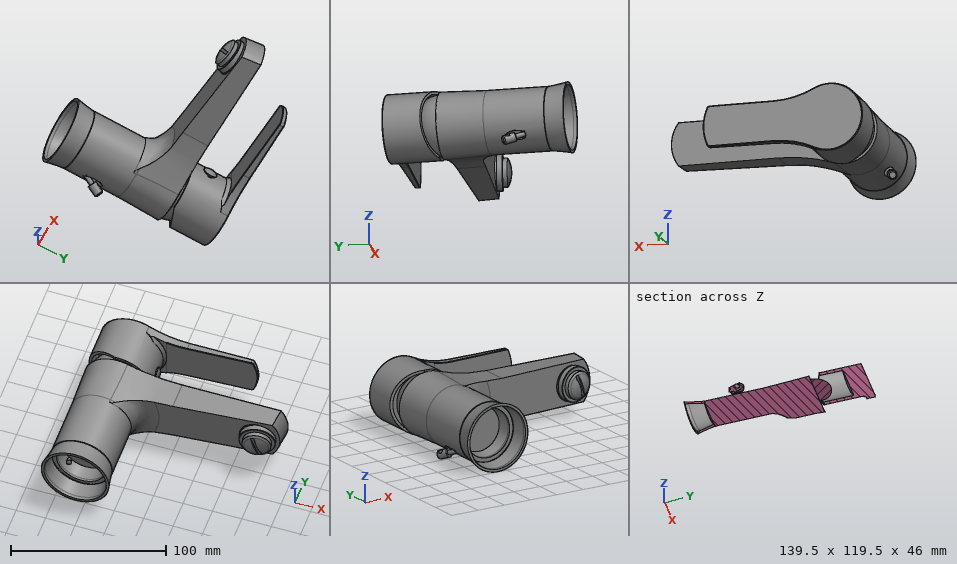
import cadquery as cq
import math


FOOT_R = 23.0
FOOT_WAIST_R = 21.8
FOOT_H = 12.8
FOOT_MOUTH_R = 21.2
FOOT_LIP_H = 2.2
FOOT_INNER_R = 19.7

TOWER_R = 21.0
TOWER_TOP_R = 21.9
TAPER_START_Y = 53.0
TOWER_TOP_Y = 84.0
TOWER_EDGE = 0.3
SPIGOT_Y = 12.1
BORE_MOUTH_R = 33.5 / 2
BORE_TAPER_Y = 13.8
BORE_R = 31.0 / 2
BORE_FLOOR_Y = 22.7

SPOUT_TIP_X = 116.5
SPOUT_CORNER_X = 111.7
SPOUT_HALF_W = 14.5
SPOUT_STRAIGHT_X = 44.4
SPOUT_UNDER_Y = 65.0
SPOUT_TIP_UNDER_Y = 71.0
TIP_LEAN = 0.1
THROAT_SECTIONS = [
    (57.2, 23.6, 23.0),
    (60.6, 26.2, 29.3),
    (64.5, 37.0, 83.7),
]
THROAT_START_Y = 51.1
THROAT_HALF_W = 20.8

AERATOR_X = 101.5
AERATOR_Y = 65.9
AERATOR_TILT = 10.0
AERATOR_RIM_R = 24.5 / 2
AERATOR_RIM_SETBACK = 3.9
COLLAR_R = 23.9 / 2
COLLAR_EDGE = 0.3
AERATOR_DEPTH = 6.3
INSERT_R = 19.0 / 2
INSERT_H = 3.0
INSERT_BEVEL_H = 1.0
INSERT_FACE_R = 16.0 / 2
INSERT_DOME_H = 1.7
SLOT_W = 2.1
SLOT_ANGLE = 19.5

DOME_R = 20.1

HANDLE_R = 22.5
HANDLE_TOP_Y = 119.5
HANDLE_LOW_Y = 85.7
HANDLE_EDGE = 0.5
HANDLE_RELIEF_X = -1.7
HANDLE_BACK_Y = 94.3
CAVITY_R = 20.7
CAVITY_TOP_Y = 106.1
LEVER_STRAIGHT_X = 37.5
LEVER_HALF_W = 13.7
LEVER_CORNER_X = 81.5
LEVER_TIP_X = 84.7
LEVER_CORNER_R = 2.1
LEVER_UNDER_Y = 113.5
LEVER_SLOPE_X = 23.7
LEVER_TIP_UNDER_Y = 116.3
LEVER_EDGE = 0.4
LEVER_BLEND_H = 2.8
LEVER_BLEND_REACH = 1.4
LEVER_BLEND_LOW_HALF_W = 16.0
LEVER_BLEND_HALF_W = 19.8

BUTTON_R = 9.5 / 2
BUTTON_Y = 98.5
BUTTON_SEAT_X = 21.2
BUTTON_RIM_X = 22.9
BUTTON_TOP_X = 24.3

ROD_TILT = 30.0
ROD_R = 1.7
ROD_POCKET_R = 6.8 / 2
ROD_POCKET_END = 18.1
KNOB_R = 6.0 / 2
KNOB_L = 8.4
KNOB_EDGE = 0.8
KNOB_TOP_RADIUS = 27.2
KNOB_TOP_Y = 40.2
ROD_END_RADIUS = 15.0
DIMPLE_R = 1.4
DIMPLE_TURN = -25.0
DIMPLE_SETBACK = 3.6


def level(y):
    """Horizontal workplane across the tower at height y, extruding upwards."""
    return cq.Workplane(cq.Plane(origin=(0, y, 0), xDir=(1, 0, 0), normal=(0, 1, 0)))


def turned(profile):
    """Revolve a profile drawn in the XY plane about the tower axis."""
    return profile.close().revolve(360, (0, 0, 0), (0, 1, 0))


def blend_loft(sections):
    """Solid through bowed horizontal sections: (height, reach along X, radius of the bow, half width)."""
    wires = []
    for y, reach, radius, half_w in sections:
        side_x = reach - radius + math.sqrt(radius ** 2 - half_w ** 2)
        section = (
            level(y)
            .moveTo(0, -half_w)
            .lineTo(side_x, -half_w)
            .threePointArc((reach, 0), (side_x, half_w))
            .lineTo(0, half_w)
            .close()
        )
        wires.append(section.wire().val())
    return cq.Workplane(cq.Solid.makeLoft(wires))


def dome_cap(plane, rim_r, height):
    """Spherical cap standing on the workplane."""
    sphere_r = (rim_r ** 2 + height ** 2) / (2 * height)
    sphere = plane.workplane(offset=height - sphere_r).sphere(sphere_r)
    column = plane.circle(rim_r).extrude(height)
    return column.intersect(sphere)


def arm_outline(plane, hub_r, straight_x, half_w, corner_x, tip_x):
    """Plan of a round hub with an arm; an arc tangent to both flares the arm into the hub."""
    flare_r = (straight_x ** 2 + half_w ** 2 - hub_r ** 2) / (2 * (hub_r - half_w))
    flare_z = half_w + flare_r
    reach = math.hypot(straight_x, flare_z)
    root_x = hub_r * straight_x / reach
    root_z = hub_r * flare_z / reach
    half_angle = math.atan2(straight_x, flare_z) / 2
    mid_x = straight_x - flare_r * math.sin(half_angle)
    mid_z = flare_z - flare_r * math.cos(half_angle)
    return (
        plane.moveTo(root_x, -root_z)
        .threePointArc((mid_x, -mid_z), (straight_x, -half_w))
        .lineTo(corner_x, -half_w)
        .threePointArc((tip_x, 0), (corner_x, half_w))
        .lineTo(straight_x, half_w)
        .threePointArc((mid_x, mid_z), (root_x, root_z))
        .threePointArc((-hub_r, 0), (root_x, -root_z))
        .close()
    )


def spout_outline(plane, hub_r, setback):
    return arm_outline(
        plane, hub_r, SPOUT_STRAIGHT_X, SPOUT_HALF_W,
        SPOUT_CORNER_X - setback, SPOUT_TIP_X - setback,
    )


def make_foot():
    profile = (
        cq.Workplane("XY")
        .moveTo(FOOT_MOUTH_R, 0)
        .lineTo(FOOT_R, 0)
        .threePointArc((FOOT_WAIST_R, FOOT_H / 2), (TOWER_R, FOOT_H))
        .lineTo(FOOT_INNER_R, FOOT_H)
        .lineTo(FOOT_INNER_R, SPIGOT_Y)
        .lineTo(FOOT_MOUTH_R, FOOT_LIP_H)
    )
    return turned(profile)


def make_tower():
    profile = (
        cq.Workplane("XY")
        .moveTo(0, SPIGOT_Y)
        .lineTo(FOOT_INNER_R, SPIGOT_Y)
        .lineTo(FOOT_INNER_R, FOOT_H)
        .lineTo(TOWER_R - TOWER_EDGE, FOOT_H)
        .lineTo(TOWER_R, FOOT_H + TOWER_EDGE)
        .lineTo(TOWER_R, TAPER_START_Y)
        .lineTo(TOWER_TOP_R, TOWER_TOP_Y)
        .lineTo(0, TOWER_TOP_Y)
    )
    return turned(profile)


def make_bore():
    profile = (
        cq.Workplane("XY")
        .moveTo(0, SPIGOT_Y)
        .lineTo(BORE_MOUTH_R, SPIGOT_Y)
        .lineTo(BORE_MOUTH_R, BORE_TAPER_Y)
        .lineTo(BORE_R, BORE_FLOOR_Y)
        .lineTo(0, BORE_FLOOR_Y)
    )
    return turned(profile)


def make_throat():
    """Blend below the spout root, hollowing out towards the tower."""
    sections = [(THROAT_START_Y, TOWER_R, TOWER_R, THROAT_HALF_W)]
    for y, reach, radius in THROAT_SECTIONS:
        sections.append((y, reach, radius, THROAT_HALF_W))
    return blend_loft(sections)


def make_spout():
    lean = (TOWER_TOP_Y - TAPER_START_Y) * TIP_LEAN
    bottom = spout_outline(level(TAPER_START_Y), TOWER_R, lean).wire().val()
    top = spout_outline(level(TOWER_TOP_Y), TOWER_TOP_R, 0).wire().val()
    root_h = TAPER_START_Y - THROAT_START_Y
    root = spout_outline(level(THROAT_START_Y), TOWER_R, lean).extrude(root_h)
    block = cq.Workplane(cq.Solid.makeLoft([bottom, top], True)).union(root)
    slope = (SPOUT_TIP_UNDER_Y - SPOUT_UNDER_Y) / (SPOUT_TIP_X - SPOUT_STRAIGHT_X)
    side = (
        cq.Workplane("XY")
        .moveTo(0, SPOUT_UNDER_Y - slope * SPOUT_STRAIGHT_X)
        .lineTo(SPOUT_STRAIGHT_X, SPOUT_UNDER_Y)
        .lineTo(SPOUT_TIP_X, SPOUT_TIP_UNDER_Y)
        .lineTo(SPOUT_TIP_X, TOWER_TOP_Y)
        .lineTo(0, TOWER_TOP_Y)
        .close()
        .extrude(TOWER_TOP_R, both=True)
    )
    return block.intersect(side.union(make_throat()))


def aerator_frame():
    """Workplane on the lower face of the aerator collar, facing out of the spout."""
    tilt = math.radians(AERATOR_TILT)
    return cq.Workplane(cq.Plane(
        origin=(AERATOR_X, AERATOR_Y, 0),
        xDir=(math.cos(tilt), math.sin(tilt), 0),
        normal=(math.sin(tilt), -math.cos(tilt), 0),
    ))


def make_collar():
    ring = aerator_frame().circle(COLLAR_R).extrude(-AERATOR_DEPTH).edges("<Y").chamfer(COLLAR_EDGE)
    return ring.cut(aerator_frame().circle(INSERT_R).extrude(-AERATOR_DEPTH))


def make_insert():
    barrel_l = AERATOR_DEPTH + INSERT_H
    barrel = aerator_frame().workplane(offset=-AERATOR_DEPTH).circle(INSERT_R).extrude(barrel_l)
    bevel = (
        aerator_frame().workplane(offset=INSERT_H).circle(INSERT_R)
        .workplane(offset=INSERT_BEVEL_H).circle(INSERT_FACE_R).loft()
    )
    face = aerator_frame().workplane(offset=INSERT_H + INSERT_BEVEL_H)
    slot = (
        face.transformed(rotate=(0, 0, SLOT_ANGLE))
        .rect(SLOT_W, 2 * INSERT_FACE_R).extrude(INSERT_DOME_H)
    )
    cap = dome_cap(face, INSERT_FACE_R, INSERT_DOME_H).cut(slot)
    return barrel.union(bevel).union(cap)


def rod_frame(setback):
    """Workplane across the lift rod, set back from the knob end towards the tower."""
    tilt = math.radians(ROD_TILT)
    radius = KNOB_TOP_RADIUS - setback * math.sin(tilt)
    diagonal = math.sqrt(0.5)
    return cq.Workplane(cq.Plane(
        origin=(-radius * diagonal, KNOB_TOP_Y - setback * math.cos(tilt), -radius * diagonal),
        xDir=(-diagonal, 0, diagonal),
        normal=(math.sin(tilt) * diagonal, -math.cos(tilt), math.sin(tilt) * diagonal),
    ))


def rod_length():
    return (KNOB_TOP_RADIUS - ROD_END_RADIUS) / math.sin(math.radians(ROD_TILT))


def make_rod_passage():
    """Hole that fits the lift rod, opening into a wider parallel pocket at the tower surface.

    The rod lies on the lower side of the pocket.
    """
    tilt = math.radians(ROD_TILT)
    rise = (ROD_POCKET_R - ROD_R) / math.sin(tilt)
    pocket = rod_frame(0).circle(ROD_POCKET_R).extrude(ROD_POCKET_END).translate((0, rise, 0))
    return rod_frame(0).circle(ROD_R).extrude(rod_length()).union(pocket)


def make_lift_rod():
    knob = rod_frame(0).circle(KNOB_R).extrude(KNOB_L).edges(">(-1, 0, -1)").chamfer(KNOB_EDGE)
    rod = rod_frame(KNOB_L).circle(ROD_R).extrude(rod_length() - KNOB_L)
    dimple = rod_frame(DIMPLE_SETBACK).transformed(rotate=(DIMPLE_TURN, 90, 0)).circle(DIMPLE_R).extrude(KNOB_R)
    return knob.union(rod).cut(dimple)


def make_body():
    socket = aerator_frame().workplane(offset=-AERATOR_DEPTH)
    rim = socket.circle(AERATOR_RIM_R).extrude(AERATOR_DEPTH - AERATOR_RIM_SETBACK)
    aerator_seat = socket.circle(COLLAR_R).extrude(2 * AERATOR_DEPTH)
    return (
        make_tower()
        .union(make_spout())
        .union(rim)
        .cut(make_bore())
        .cut(aerator_seat)
        .cut(make_rod_passage())
    )


def make_dome():
    profile = (
        cq.Workplane("XY")
        .moveTo(0, TOWER_TOP_Y)
        .lineTo(DOME_R, TOWER_TOP_Y)
        .threePointArc(
            (DOME_R * math.sqrt(0.5), TOWER_TOP_Y + DOME_R * math.sqrt(0.5)),
            (0, TOWER_TOP_Y + DOME_R),
        )
    )
    return turned(profile)


def lever_outline(plane):
    return arm_outline(
        plane, HANDLE_R, LEVER_STRAIGHT_X, LEVER_HALF_W, LEVER_CORNER_X, LEVER_TIP_X,
    )


def make_lever():
    """Top slab of the handle, running out into the thinning lever."""
    tip_corners = cq.selectors.BoxSelector(
        (LEVER_STRAIGHT_X + 1.4, 0, -HANDLE_R), (LEVER_TIP_X, HANDLE_TOP_Y, HANDLE_R),
    )
    slab = (
        lever_outline(level(LEVER_UNDER_Y)).extrude(HANDLE_TOP_Y - LEVER_UNDER_Y)
        .edges("|Y").edges(tip_corners).fillet(LEVER_CORNER_R)
        .faces(">Y").edges().chamfer(HANDLE_EDGE)
    )
    below = (
        cq.Workplane("XY")
        .moveTo(LEVER_SLOPE_X, LEVER_UNDER_Y)
        .lineTo(LEVER_TIP_X, LEVER_TIP_UNDER_Y)
        .lineTo(LEVER_TIP_X, LEVER_UNDER_Y)
        .close()
        .extrude(HANDLE_R, both=True)
    )
    thinned = slab.cut(below)
    hub_side = cq.Workplane("YZ", origin=(LEVER_SLOPE_X, 0, 0)).rect(3 * HANDLE_TOP_Y, 3 * HANDLE_R)
    hub = thinned.intersect(hub_side.extrude(-3 * HANDLE_R))
    underside_edges = cq.selectors.BoxSelector(
        (LEVER_SLOPE_X + LEVER_EDGE, LEVER_UNDER_Y, -HANDLE_R),
        (LEVER_TIP_X + LEVER_EDGE, LEVER_TIP_UNDER_Y + LEVER_EDGE, HANDLE_R),
    )
    arm = thinned.cut(hub).edges(underside_edges).edges("not |Y").chamfer(LEVER_EDGE)
    return hub.union(arm)


def make_lever_blend():
    """Small bracket-like blend between the handle wall and the underside of the lever."""
    low_y = LEVER_UNDER_Y - LEVER_BLEND_H
    sections = [
        (low_y, HANDLE_R, HANDLE_R, LEVER_BLEND_LOW_HALF_W),
        (LEVER_UNDER_Y, HANDLE_R + LEVER_BLEND_REACH, HANDLE_R, LEVER_BLEND_HALF_W),
    ]
    plan = lever_outline(level(low_y)).extrude(LEVER_BLEND_H)
    return blend_loft(sections).intersect(plan)


def make_handle():
    cap = level(HANDLE_LOW_Y).circle(HANDLE_R).extrude(LEVER_UNDER_Y - HANDLE_LOW_Y)
    relief = (
        cq.Workplane("XY")
        .moveTo(HANDLE_RELIEF_X, HANDLE_LOW_Y)
        .lineTo(-HANDLE_R, HANDLE_BACK_Y)
        .lineTo(-HANDLE_R, HANDLE_LOW_Y)
        .close()
        .extrude(HANDLE_R, both=True)
    )
    cavity = level(HANDLE_LOW_Y).circle(CAVITY_R).extrude(CAVITY_TOP_Y - HANDLE_LOW_Y)
    button_seat = button_frame().circle(BUTTON_R).extrude(BUTTON_TOP_X - BUTTON_SEAT_X)
    shell = cap.union(make_lever()).union(make_lever_blend())
    return shell.cut(relief).cut(cavity).cut(button_seat)


def button_frame():
    return cq.Workplane("YZ", origin=(BUTTON_SEAT_X, BUTTON_Y, 0))


def make_button():
    pad_h = BUTTON_RIM_X - BUTTON_SEAT_X
    pad = button_frame().circle(BUTTON_R).extrude(pad_h)
    return pad.union(dome_cap(button_frame().workplane(offset=pad_h), BUTTON_R, BUTTON_TOP_X - BUTTON_RIM_X))


foot = make_foot()
body = make_body()
dome = make_dome()
handle = make_handle()
button = make_button()
collar = make_collar()
insert = make_insert()
lift_rod = make_lift_rod()

result = cq.Compound.makeCompound([
    foot.val(),
    body.val(),
    dome.val(),
    handle.val(),
    button.val(),
    collar.val(),
    insert.val(),
    lift_rod.val(),
])